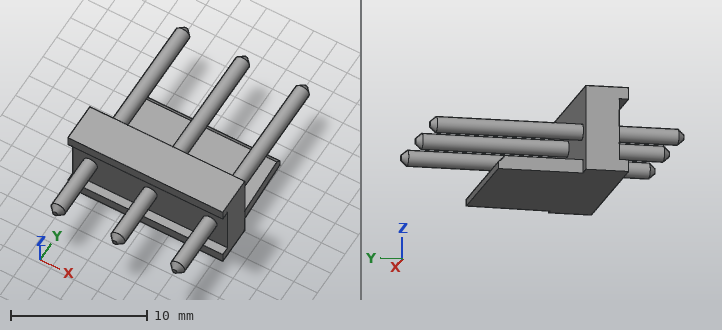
import cadquery as cq

housing_width = 13.17
housing_depth = 3.2
housing_height = 6.35
recess_depth = 0.7
lip_height = 0.88

pin_count = 3
pin_pitch = 5.08
pin_diameter = 1.2
pin_length = 19.03
pin_front_reach = 4.43
pin_tip_length = 0.45
pin_tip_diameter = 0.4

tab_length = 6.34
tab_thickness = 1.0
tab_chamfer = 0.5
tab_left_reach = 5.45
tab_right_reach_at_root = 6.09
tab_right_reach_at_end = 5.88


def make_housing():
    """Block with a full-width recess between two lips on its front face."""
    block = cq.Workplane("XY").box(
        housing_width, housing_depth, housing_height, centered=(True, False, False)
    )
    recess_height = housing_height - 2 * lip_height
    recess = (
        cq.Workplane("XY")
        .box(housing_width, recess_depth, recess_height, centered=(True, False, False))
        .translate((0, 0, lip_height))
    )
    return block.cut(recess)


def make_tab():
    """Flat tab with a straight left side, a tapered right side and its upper rear edge chamfered."""
    root_y = housing_depth
    end_y = root_y + tab_length
    return (
        cq.Workplane("XY")
        .moveTo(-tab_left_reach, root_y)
        .lineTo(tab_right_reach_at_root, root_y)
        .lineTo(tab_right_reach_at_end, end_y)
        .lineTo(-tab_left_reach, end_y)
        .close()
        .extrude(tab_thickness)
        .faces(">Y")
        .edges(">Z")
        .chamfer(tab_chamfer)
    )


def make_pin(x):
    """Round pin along Y with a blunt cone at each end."""
    front_y = -pin_front_reach
    rear_y = front_y + pin_length
    pin_radius = pin_diameter / 2
    tip_radius = pin_tip_diameter / 2
    return (
        cq.Workplane("XY")
        .moveTo(0, front_y)
        .lineTo(tip_radius, front_y)
        .lineTo(pin_radius, front_y + pin_tip_length)
        .lineTo(pin_radius, rear_y - pin_tip_length)
        .lineTo(tip_radius, rear_y)
        .lineTo(0, rear_y)
        .close()
        .revolve(360, (0, 0, 0), (0, 1, 0))
        .translate((x, 0, housing_height / 2))
    )


result = make_housing().union(make_tab())
for pin_index in range(pin_count):
    pin_x = (pin_index - (pin_count - 1) / 2) * pin_pitch
    result = result.union(make_pin(pin_x))